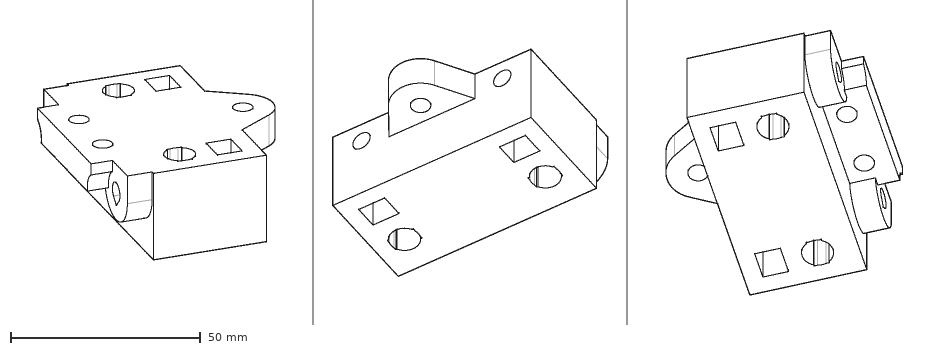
import cadquery as cq
import math

block_width = 62.0
block_depth = 32.0
block_height = 25.0

plate_thickness = 9.0
screw_diameter = 5.4
screw_offset = 5.5
front_screw_spacing = 17.0

lobe_radius = 8.5
lobe_foot_half_width = 13.45

ear_radius = 8.0
ear_length = 7.0
ear_inset = 1.0
ear_x = block_width / 2 - ear_inset - ear_radius
ear_z = block_height - ear_radius

bar_width = 38.55
bar_depth = 6.0
bar_relief_radius = 5.5

bore_diameter = 5.4
rear_bore_drop = 6.0
rear_bore_z = block_height - rear_bore_drop

shaft_diameter = 8.45
shaft_y = 11.0
pocket_width = 8.1
pocket_depth = 7.0
pocket_back_wall = 4.95
pocket_y = block_depth - pocket_back_wall - pocket_depth / 2
shaft_flat_length = 4.15

plate_bottom = block_height - plate_thickness
ear_sides = (-ear_x, ear_x)


def box(width, y_start, y_end, z_start, z_end, x_centre=0.0):
    """Block centred on x_centre between the given Y and Z limits."""
    base = cq.Workplane("XY", origin=(x_centre, y_start, z_start))
    return base.box(width, y_end - y_start, z_end - z_start, centered=(True, False, False))


def cylinder_along_y(x, z, radius, y_start, y_end):
    """Cylinder between the given Y limits, centred on x and z."""
    axis = cq.Workplane("XZ", origin=(x, y_start, z))
    return axis.circle(radius).extrude(y_start - y_end)


def teardrop_bore(x, y_start, y_end):
    """Teardrop along Y: a cylinder with a right-angled point at the bottom."""
    radius = bore_diameter / 2
    point = (
        cq.Workplane("XY")
        .box(radius, y_end - y_start, radius, centered=(False, False, False))
        .rotate((0, 0, 0), (0, 1, 0), 135)
        .translate((x, y_start, ear_z))
    )
    return cylinder_along_y(x, ear_z, radius, y_start, y_end).union(point)


def ear(x):
    """Ear with a flat top flush with the block and a half-round bottom."""
    upper = box(2 * ear_radius, -ear_length, 0, ear_z, block_height, x)
    return upper.union(cylinder_along_y(x, ear_z, ear_radius, -ear_length, 0))


def lobe():
    """Rear lobe: two flanks running tangent into a round end."""
    centre_y = block_depth + screw_offset
    foot_distance = math.hypot(lobe_foot_half_width, screw_offset)
    foot_angle = -math.atan2(screw_offset, lobe_foot_half_width)
    tangent_angle = foot_angle + math.acos(lobe_radius / foot_distance)
    tangent_x = lobe_radius * math.cos(tangent_angle)
    tangent_y = centre_y + lobe_radius * math.sin(tangent_angle)
    return (
        cq.Workplane("XY", origin=(0, 0, plate_bottom))
        .moveTo(-lobe_foot_half_width, block_depth)
        .lineTo(lobe_foot_half_width, block_depth)
        .lineTo(tangent_x, tangent_y)
        .threePointArc((0, centre_y + lobe_radius), (-tangent_x, tangent_y))
        .close()
        .extrude(plate_thickness)
    )


def front_bar():
    """Front part of the plate, with its ends hollowed around the ear axes."""
    bar_front = -ear_length - bar_depth
    bar = box(bar_width, bar_front, 0, plate_bottom, block_height)
    for x in ear_sides:
        bar = bar.cut(cylinder_along_y(x, ear_z, bar_relief_radius, bar_front, -ear_length))
    return bar


def shaft_opening(x):
    """Round shaft hole merged with a slightly narrower flat-sided slot."""
    shaft = cq.Workplane("XY").center(x, shaft_y).circle(shaft_diameter / 2).extrude(block_height)
    slot = cq.Workplane("XY").center(x, shaft_y).rect(pocket_width, shaft_flat_length).extrude(block_height)
    return shaft.union(slot)


def pocket(x):
    """Rectangular opening through the block, behind the shaft hole."""
    return cq.Workplane("XY").center(x, pocket_y).rect(pocket_width, pocket_depth).extrude(block_height)


result = box(block_width, 0, block_depth, 0, block_height)
result = result.union(lobe()).union(front_bar())
for x in ear_sides:
    result = result.union(ear(x))

for x in ear_sides:
    result = result.cut(shaft_opening(x)).cut(pocket(x))
    result = result.cut(teardrop_bore(x, -ear_length, shaft_y))
    result = result.cut(cylinder_along_y(x, rear_bore_z, bore_diameter / 2, pocket_y, block_depth))

screw_points = [
    (-front_screw_spacing / 2, -screw_offset),
    (front_screw_spacing / 2, -screw_offset),
    (0, block_depth + screw_offset),
]
screw_holes = cq.Workplane("XY").pushPoints(screw_points).circle(screw_diameter / 2).extrude(block_height)
result = result.cut(screw_holes)